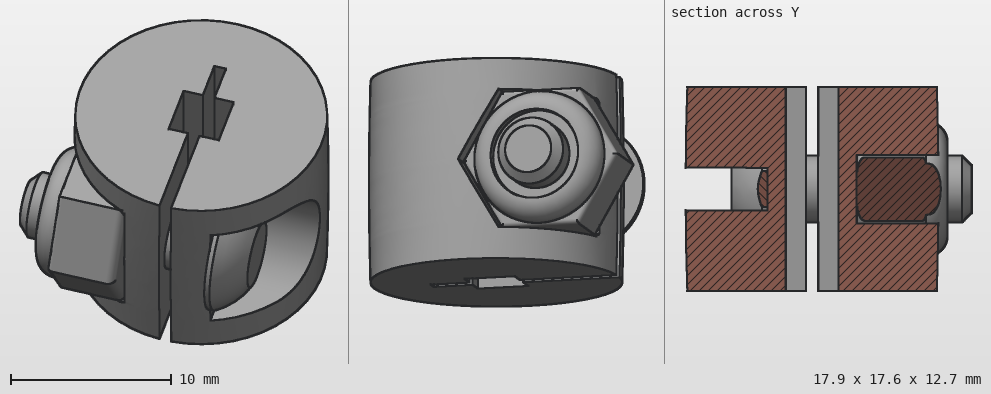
import cadquery as cq
import math


HUB_HEIGHT = 12.7
HUB_END_RADIUS = 7.84
HUB_MIDDLE_RADIUS = 7.93
SQUARE_BORE = 3.25
SLIT_WIDTH = 0.75
SLIT_REACH = 4.12

SCREW_AXIS_Y = -4.71
SCREW_RADIUS = 2.09
SCREW_LENGTH = 14.94
SCREW_TIP_CHAMFER = 0.6
HEAD_SEAT_X = 2.78
HEAD_RADIUS = 4.0
HEAD_RIM = 0.34
HEAD_FLAT_RADIUS = 2.09
HEAD_HEIGHT = 2.23
HEAD_CLEARANCE = 0.05

NUT_SEAT_X = -HEAD_SEAT_X
NUT_CORNER_RADIUS = 4.98
NUT_HEX_LENGTH = 4.32
NUT_SEAT_ROUNDING = 0.52
NUT_OUTER_ROUNDING = 0.27
NUT_CLEARANCE = 0.07
COLLAR_RADIUS = 4.16
COLLAR_HEIGHT = 1.32
COLLAR_ROUNDING = 1.25
COLLAR_RECESS_RADIUS = 2.82
COLLAR_RECESS_DEPTH = 0.62

HEAD_END_X = HEAD_SEAT_X + HEAD_HEIGHT
SCREW_TIP_X = HEAD_END_X - SCREW_LENGTH
NUT_OUTER_X = NUT_SEAT_X - NUT_HEX_LENGTH
COLLAR_END_X = NUT_OUTER_X - COLLAR_HEIGHT


def across_screw(x):
    """Workplane facing +X, centred on the screw axis at the given x."""
    return cq.Workplane("YZ", origin=(x, SCREW_AXIS_Y, 0))


def screw_bar(radius, x_start, x_end):
    """Round bar about the screw axis."""
    return across_screw(x_start).circle(radius).extrude(x_end - x_start)


def hex_bar(corner_radius, x_start, x_end):
    """Hexagonal bar about the screw axis, with two corners pointing along Y."""
    return across_screw(x_start).polygon(6, 2 * corner_radius).extrude(x_end - x_start)


def turned_on_screw_axis(profile):
    """Turn a profile of (x, radius) about the screw axis; the profile stands in the XY plane."""
    return profile.close().revolve(360, (0, 0, 0), (1, 0, 0))


def make_barrel():
    """Hub blank: a cylinder whose side bulges along one arc, split into two faces at mid height."""
    half_height = HUB_HEIGHT / 2
    bulge = HUB_MIDDLE_RADIUS - HUB_END_RADIUS
    arc_radius = (half_height**2 + bulge**2) / (2 * bulge)
    quarter_height = half_height / 2
    quarter_radius = (
        HUB_MIDDLE_RADIUS - arc_radius + math.sqrt(arc_radius**2 - quarter_height**2)
    )
    return (
        cq.Workplane("XZ")
        .moveTo(0, -half_height)
        .lineTo(-HUB_END_RADIUS, -half_height)
        .threePointArc((-quarter_radius, -quarter_height), (-HUB_MIDDLE_RADIUS, 0))
        .threePointArc((-quarter_radius, quarter_height), (-HUB_END_RADIUS, half_height))
        .lineTo(0, half_height)
        .close()
        .revolve(360, (0, 0, 0), (0, 1, 0))
    )


def make_head_pocket():
    """Round-ended pocket behind the head: half round at the screw axis, straight and open towards -Y."""
    radius = HEAD_RADIUS + HEAD_CLEARANCE
    depth = HUB_MIDDLE_RADIUS - HEAD_SEAT_X
    side_length = HUB_MIDDLE_RADIUS + SCREW_AXIS_Y
    round_end = screw_bar(radius, HEAD_SEAT_X, HUB_MIDDLE_RADIUS)
    straight_side = (
        across_screw(HEAD_SEAT_X).center(-side_length / 2, 0).rect(side_length, 2 * radius).extrude(depth)
    )
    return round_end.union(straight_side)


def make_hub():
    """Clamp hub: square bore, slit, screw hole and the two pockets for nut and head."""
    bore = cq.Workplane("XY").box(SQUARE_BORE, SQUARE_BORE, HUB_HEIGHT)
    slit_length = SLIT_REACH + HUB_MIDDLE_RADIUS
    slit = (
        cq.Workplane("XY")
        .box(SLIT_WIDTH, slit_length, HUB_HEIGHT)
        .translate((0, SLIT_REACH - slit_length / 2, 0))
    )
    screw_hole = screw_bar(SCREW_RADIUS, NUT_SEAT_X, HEAD_SEAT_X)
    nut_pocket = hex_bar(NUT_CORNER_RADIUS + NUT_CLEARANCE, -HUB_MIDDLE_RADIUS, NUT_SEAT_X)
    return (
        make_barrel()
        .cut(bore)
        .cut(slit)
        .cut(screw_hole)
        .cut(make_head_pocket())
        .cut(nut_pocket)
    )


def make_screw():
    """Screw with a chamfered tip and a flat-topped head whose sphere is centred on the axis."""
    rim_end_x = HEAD_SEAT_X + HEAD_RIM
    dome_height = HEAD_HEIGHT - HEAD_RIM
    centre_offset = (dome_height**2 + HEAD_FLAT_RADIUS**2 - HEAD_RADIUS**2) / (2 * dome_height)
    sphere_radius = math.hypot(centre_offset, HEAD_RADIUS)
    mid_dome_radius = math.sqrt(sphere_radius**2 - (dome_height / 2 - centre_offset) ** 2)
    profile = (
        cq.Workplane("XY", origin=(0, SCREW_AXIS_Y, 0))
        .moveTo(SCREW_TIP_X, 0)
        .lineTo(SCREW_TIP_X, SCREW_RADIUS - SCREW_TIP_CHAMFER)
        .lineTo(SCREW_TIP_X + SCREW_TIP_CHAMFER, SCREW_RADIUS)
        .lineTo(HEAD_SEAT_X, SCREW_RADIUS)
        .lineTo(HEAD_SEAT_X, HEAD_RADIUS)
        .lineTo(rim_end_x, HEAD_RADIUS)
        .threePointArc((rim_end_x + dome_height / 2, mid_dome_radius), (HEAD_END_X, HEAD_FLAT_RADIUS))
        .lineTo(HEAD_END_X, 0)
    )
    return turned_on_screw_axis(profile)


def make_nut():
    """Lock nut: rounded hexagon with a round collar, recessed around the screw."""
    hexagon = (
        hex_bar(NUT_CORNER_RADIUS, NUT_OUTER_X, NUT_SEAT_X)
        .faces(">X").edges().fillet(NUT_SEAT_ROUNDING)
        .faces("<X").edges().fillet(NUT_OUTER_ROUNDING)
    )
    collar_root_x = NUT_OUTER_X + NUT_OUTER_ROUNDING
    collar = (
        screw_bar(COLLAR_RADIUS, COLLAR_END_X, collar_root_x)
        .faces("<X").edges().fillet(COLLAR_ROUNDING)
    )
    recess = screw_bar(COLLAR_RECESS_RADIUS, COLLAR_END_X, COLLAR_END_X + COLLAR_RECESS_DEPTH)
    screw_hole = screw_bar(SCREW_RADIUS, COLLAR_END_X, NUT_SEAT_X)
    return hexagon.union(collar).cut(recess).cut(screw_hole)


hub = make_hub()
screw = make_screw()
nut = make_nut()

result = cq.Compound.makeCompound([hub.val(), screw.val(), nut.val()])